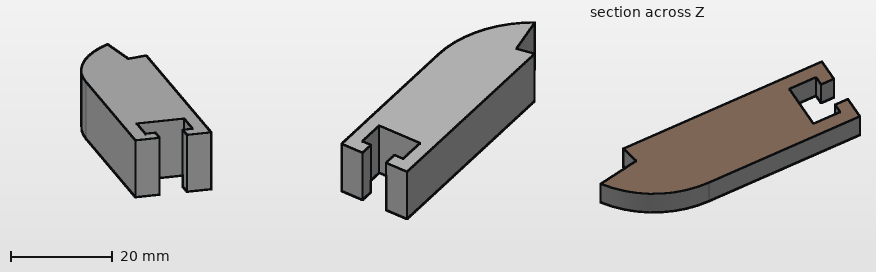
import cadquery as cq
import math

length = 52.8
width = 15.6
height = 12.0

nose_length = 18.9
tip_y = 10.1
nose_radius = (nose_length**2 + tip_y**2) / (2 * tip_y)

notch_tilt = math.radians(10.3)
notch_x = 8.85

slot_width = 9.7
mouth_width = 5.6
slot_depth = 8.85
lip_thickness = 2.95


def make_body():
    """Extrude the outline of the nose, notch and straight body."""
    notch_y = tip_y + notch_x * math.tan(notch_tilt)
    shoulder_x = notch_x - (width - notch_y) * math.tan(notch_tilt)

    half_sweep = math.asin(nose_length / nose_radius) / 2
    arc_middle = (
        nose_length - nose_radius * math.sin(half_sweep),
        nose_radius * (1 - math.cos(half_sweep)),
    )
    return (
        cq.Workplane("XY")
        .moveTo(0, tip_y)
        .threePointArc(arc_middle, (nose_length, 0))
        .lineTo(length, 0)
        .lineTo(length, width)
        .lineTo(shoulder_x, width)
        .lineTo(notch_x, notch_y)
        .close()
        .extrude(height)
    )


def make_slot_box(start_x, end_x, opening):
    """Full-height cutter centred across the body width."""
    return (
        cq.Workplane("XY")
        .center((start_x + end_x) / 2, width / 2)
        .rect(end_x - start_x, opening)
        .extrude(height)
    )


slot_start = length - slot_depth
chamber = make_slot_box(slot_start, length - lip_thickness, slot_width)
mouth = make_slot_box(slot_start, length, mouth_width)

result = make_body().cut(chamber).cut(mouth)